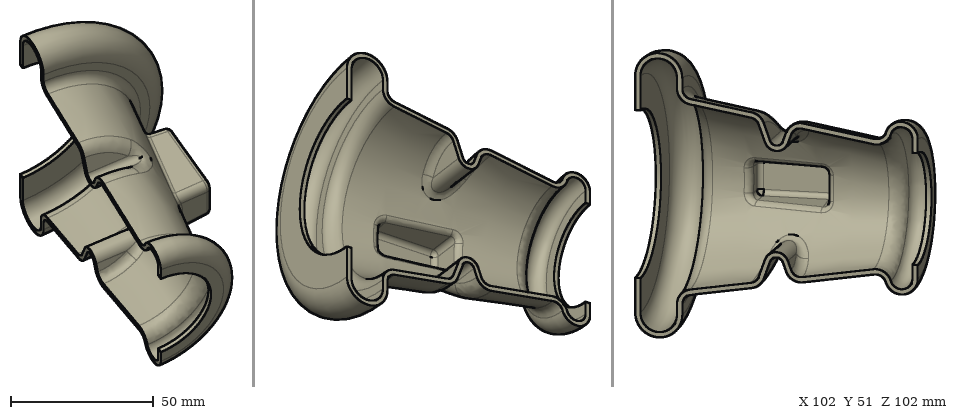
import cadquery as cq
import math

length = 102.0
wall = 1.9

large_radius = 51.0
large_width = 17.0
large_bore = 30.1
small_radius = 31.0
small_width = 11.8
small_bore = 20.1
neck_fillet = 3.7

cone_reference_x = 51.0
cone_reference_radius = 30.1
cone_slope = 0.163

pinch_x = 51.0
pinch_floor_z = 20.1
pinch_floor_radius = 2.4
pinch_half_angle = 20.0
pinch_end_y = 24.5
pinch_edge_radius = 5.6
pinch_reach = 15.3

block_center_x = 48.8
block_length = 33.7
block_width = 19.0
block_base_y = 20.4
block_seam_top_y = 34.7
block_top_y = 41.0
block_draft = 3.0
block_corner_radius = 3.1
block_top_fillet = 1.9
block_root_fillet = 1.6
block_inner_root_fillet = 2.4


def revolve_half(profile):
    """Sweep an XZ profile half a turn, filling the Y > 0 side."""
    return profile.revolve(180, (1, 0, 0), (0, 0, 0))


def half_cylinder(x_start, x_end, radius):
    profile = cq.Workplane("XZ").moveTo(x_start, 0).lineTo(x_start, radius)
    return revolve_half(profile.lineTo(x_end, radius).lineTo(x_end, 0).close())


def bead(x_start, x_end, radius):
    """Half disc whose rim is a full round."""
    half_width = (x_end - x_start) / 2
    side_radius = radius - half_width
    profile = (
        cq.Workplane("XZ")
        .moveTo(x_start, 0)
        .lineTo(x_start, side_radius)
        .threePointArc((x_start + half_width, radius), (x_end, side_radius))
        .lineTo(x_end, 0)
        .close()
    )
    return revolve_half(profile)


def cone_radius(x, inset):
    slant = math.hypot(1, cone_slope)
    return cone_reference_radius - cone_slope * (x - cone_reference_x) - inset * slant


def cone(inset):
    """Conical body running between the middles of the two beads."""
    x_start = large_width / 2
    x_end = length - small_width / 2
    profile = (
        cq.Workplane("XZ")
        .moveTo(x_start, 0)
        .lineTo(x_start, cone_radius(x_start, inset))
        .lineTo(x_end, cone_radius(x_end, inset))
        .lineTo(x_end, 0)
        .close()
    )
    return revolve_half(profile)


def edges_within(body, low_corner, high_corner):
    """Edges whose bounding boxes lie wholly between the two corners."""
    return body.edges(cq.selectors.BoxSelector(low_corner, high_corner, boundingbox=True))


def sleeve(inset):
    """Solid sleeve with every surface moved inward by inset."""
    large_bead = bead(inset, large_width - inset, large_radius - inset)
    small_bead = bead(length - small_width + inset, length - inset, small_radius - inset)
    body = large_bead.union(cone(inset)).union(small_bead)
    neck_edges = edges_within(
        body,
        (large_width - 2 * wall, -large_radius, -large_radius),
        (length - small_width + 2 * wall, large_radius, large_radius),
    ).edges("%CIRCLE")
    return neck_edges.fillet(neck_fillet + inset)


def block(inset):
    """Drafted block with rounded corners, shrunk by inset on its sides and top."""
    height = block_top_y - block_base_y - inset
    return (
        cq.Workplane("XZ", origin=(block_center_x, block_base_y, 0))
        .rect(block_length - 2 * inset, block_width - 2 * inset)
        .extrude(-height, taper=block_draft)
        .edges("not (#Y or |X or |Z)")
        .fillet(block_corner_radius - inset / 2)
        .faces(">Y")
        .edges()
        .fillet(block_top_fillet)
    )


def pinch(inset):
    """V-shaped groove cutter with a round floor, grown by inset toward the inside."""
    angle = math.radians(pinch_half_angle)
    radius = pinch_floor_radius + inset
    center_z = pinch_floor_z + pinch_floor_radius
    tangent_x = radius * math.cos(angle)
    tangent_z = center_z - radius * math.sin(angle)
    top_x = tangent_x + (large_radius - tangent_z) * math.tan(angle)
    return (
        cq.Workplane("XZ", origin=(pinch_x, 0, 0))
        .moveTo(-top_x, large_radius)
        .lineTo(-tangent_x, tangent_z)
        .threePointArc((0, center_z - radius), (tangent_x, tangent_z))
        .lineTo(top_x, large_radius)
        .close()
        .extrude(-large_radius)
    )


def fillet_block_root(body, radius):
    """Round the seam where the block rises out of the cone."""
    half_length = block_length / 2 + wall
    low_corner = (block_center_x - half_length, block_base_y + wall, -block_width)
    high_corner = (block_center_x + half_length, block_seam_top_y, block_width)
    return edges_within(body, low_corner, high_corner).fillet(radius)


def fillet_pinch_edges(body, radius):
    """Round the curved rims where the grooves break through the cone."""
    low_corner = (pinch_x - pinch_reach, -1, -large_radius)
    high_corner = (pinch_x + pinch_reach, pinch_end_y, large_radius)
    return edges_within(body, low_corner, high_corner).edges("%ELLIPSE").fillet(radius)


def formed_solid(inset, root_fillet):
    """Sleeve with its block and both grooves, all surfaces moved inward by inset."""
    body = sleeve(inset).union(block(inset))
    body = fillet_block_root(body, root_fillet)
    groove = pinch(inset)
    body = body.cut(groove).cut(groove.mirror("XY"))
    return fillet_pinch_edges(body, pinch_edge_radius - inset)


outside = formed_solid(0, block_root_fillet)
cavity = formed_solid(wall, block_inner_root_fillet)
large_opening = half_cylinder(0, large_width / 2, large_bore)
small_opening = half_cylinder(length - small_width / 2, length, small_bore)

result = outside.cut(cavity).cut(large_opening).cut(small_opening)